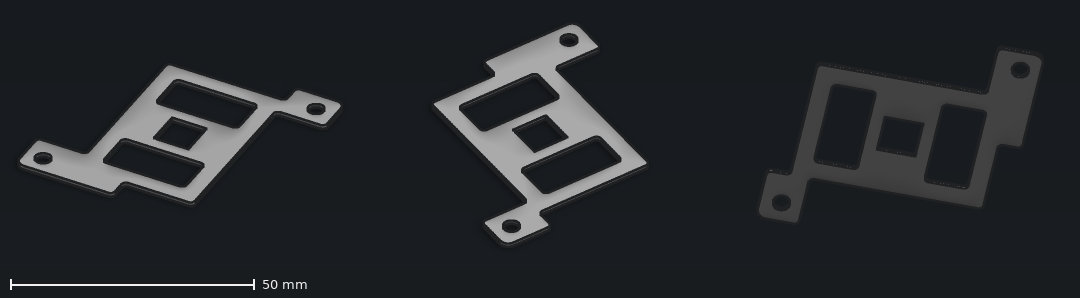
import cadquery as cq

span = 50.0
thickness = 1.0
half_span = span / 2

panel_width = 27.3
panel_length = 40.25
upper_tab_length = 8.9
lower_tab_width = 22.65
lower_tab_length = 9.7
corner_radius = 1.0
large_radius = 2.0

window_width = 19.05
window_length = 9.1
window_offset = 11.55
window_radius = 1.0
square_side = 8.0
hole_diameter = 3.5
upper_hole_x = 20.6
upper_hole_y = 20.55
lower_hole_x = -20.75
lower_hole_y = -20.8


def block(width, length, x_min, y_min):
    """Plate-thick rectangle placed by its lower left corner."""
    return (
        cq.Workplane("XY")
        .box(width, length, thickness, centered=False)
        .translate((x_min, y_min, -thickness / 2))
    )


def tab_corner(sign):
    """Selector for the vertical edge at one outermost tab corner."""
    near = sign * (half_span - corner_radius)
    far = sign * (half_span + corner_radius)
    return cq.selectors.BoxSelector((near, near, -thickness), (far, far, thickness))


def plate():
    """Panel joined to its tabs, with all outline corners rounded."""
    panel = block(panel_width, panel_length, -panel_width / 2, -panel_length / 2)
    upper_x = panel_width / 2
    upper_tab_width = half_span - upper_x
    upper_y = half_span - upper_tab_length
    upper_tab = block(upper_tab_width, upper_tab_length, upper_x, upper_y)
    lower_tab = block(lower_tab_width, lower_tab_length, -half_span, -half_span)
    body = panel.union(upper_tab).union(lower_tab).clean()

    large_corners = tab_corner(1) + tab_corner(-1)
    vertical_edges = cq.selectors.ParallelDirSelector(cq.Vector(0, 0, 1))
    body = body.edges(vertical_edges - large_corners).fillet(corner_radius)
    return body.edges(vertical_edges & large_corners).fillet(large_radius)


def windows():
    """Two rounded windows, above and below the centre."""
    return (
        cq.Workplane("XY")
        .pushPoints([(0, window_offset), (0, -window_offset)])
        .box(window_width, window_length, thickness)
        .edges("|Z")
        .fillet(window_radius)
    )


def square_opening():
    """Sharp-cornered square at the centre."""
    return cq.Workplane("XY").box(square_side, square_side, thickness)


def mounting_holes():
    """One through hole in each tab."""
    return (
        cq.Workplane("XY", origin=(0, 0, -thickness / 2))
        .pushPoints([(upper_hole_x, upper_hole_y), (lower_hole_x, lower_hole_y)])
        .circle(hole_diameter / 2)
        .extrude(thickness)
    )


result = plate().cut(windows()).cut(square_opening()).cut(mounting_holes())